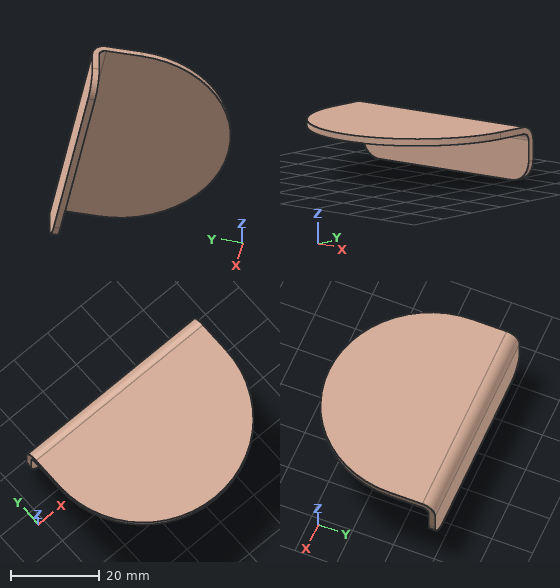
import cadquery as cq

width = 50.0
depth = 36.4
height = 13.0

thickness = 1.6
inner_bend_radius = 1.6
outer_bend_radius = inner_bend_radius + thickness

front_radius = width / 2
flange_corner_radius = 5.0

back_y = depth - front_radius


def bent_sheet():
    """Sheet with a horizontal plate and a flange turned down at the back."""
    sheet = (
        cq.Workplane("YZ")
        .moveTo(-front_radius, 0)
        .lineTo(back_y - outer_bend_radius, 0)
        .radiusArc((back_y, -outer_bend_radius), outer_bend_radius)
        .lineTo(back_y, -height)
        .lineTo(back_y - thickness, -height)
        .lineTo(back_y - thickness, -outer_bend_radius)
        .radiusArc((back_y - outer_bend_radius, -thickness), -inner_bend_radius)
        .lineTo(-front_radius, -thickness)
        .close()
        .extrude(width / 2, both=True)
    )
    return sheet.faces("<Z").edges("|Y").fillet(flange_corner_radius)


def plate_outline():
    """Column with straight sides and a half-round front, for trimming the sheet."""
    return (
        cq.Workplane("XY")
        .moveTo(-width / 2, back_y)
        .lineTo(-width / 2, 0)
        .threePointArc((0, -front_radius), (width / 2, 0))
        .lineTo(width / 2, back_y)
        .close()
        .extrude(-height)
    )


result = bent_sheet().intersect(plate_outline())